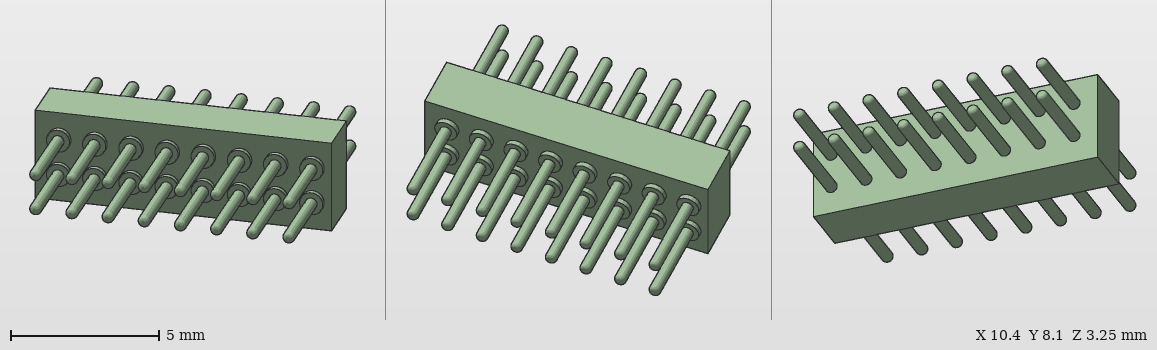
import cadquery as cq

BLOCK_LENGTH = 10.37
BLOCK_DEPTH = 1.91
BLOCK_HEIGHT = 3.25

PIN_COLUMNS = 8
PIN_ROWS = 2
PIN_PITCH = 1.27
ROWS_OFFSET = 0.02
FIRST_PIN_INSET = 0.85

PIN_LENGTH = 8.1
PIN_RADIUS = 0.21
PIN_END_ROUNDING = 0.16

COLLAR_RADIUS = 0.4
COLLAR_THICKNESS = 0.19

PIN_PROJECTION = (PIN_LENGTH - BLOCK_DEPTH - COLLAR_THICKNESS) / 2
COLLAR_FRONT = -PIN_LENGTH / 2 + PIN_PROJECTION
BLOCK_CENTRE_Y = COLLAR_FRONT + COLLAR_THICKNESS + BLOCK_DEPTH / 2


def cylinder_along_y(x, z, y_start, length, radius):
    """Round bar whose axis is parallel to Y, starting at y_start."""
    start = cq.Vector(x, y_start, z)
    return cq.Workplane(obj=cq.Solid.makeCylinder(radius, length, start, cq.Vector(0, 1, 0)))


def make_pin(x, z):
    """Pin with both ends rounded."""
    pin = cylinder_along_y(x, z, -PIN_LENGTH / 2, PIN_LENGTH, PIN_RADIUS)
    return pin.faces("<Y or >Y").edges().fillet(PIN_END_ROUNDING)


def make_collar(x, z):
    """Disc standing out from the -Y face of the block."""
    return cylinder_along_y(x, z, COLLAR_FRONT, COLLAR_THICKNESS, COLLAR_RADIUS)


first_column_x = -BLOCK_LENGTH / 2 + FIRST_PIN_INSET
first_row_z = ROWS_OFFSET - (PIN_ROWS - 1) * PIN_PITCH / 2

block = cq.Workplane().box(BLOCK_LENGTH, BLOCK_DEPTH, BLOCK_HEIGHT)
result = block.translate((0, BLOCK_CENTRE_Y, 0))

for column in range(PIN_COLUMNS):
    for row in range(PIN_ROWS):
        pin_x = first_column_x + column * PIN_PITCH
        pin_z = first_row_z + row * PIN_PITCH
        result = result.union(make_collar(pin_x, pin_z))
        result = result.union(make_pin(pin_x, pin_z))